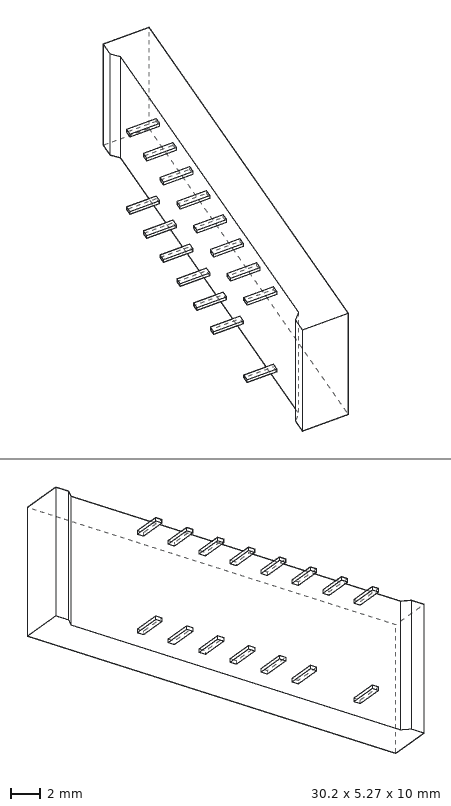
import cadquery as cq

length = 30.25
overall_depth = 5.27
height = 10.02

body_depth = 3.5
foot_height = 0.5
foot_width = 1.05
foot_slope_width = 0.55

pin_width = 0.5
pin_thickness = 0.27
pin_pitch = 2.55
pins_per_row = 8
row_spacing = 7.65
pin_group_center_x = 1.05
empty_bottom_position = 6

feet_y = -body_depth
recess_y = feet_y + foot_height
pin_tip_y = -overall_depth


def make_body():
    """Plate with two sloped feet, extruded over the full height."""
    end_x = length / 2
    foot_x = end_x - foot_width
    recess_x = foot_x - foot_slope_width
    outline = [
        (-end_x, 0),
        (-end_x, feet_y),
        (-foot_x, feet_y),
        (-recess_x, recess_y),
        (recess_x, recess_y),
        (foot_x, feet_y),
        (end_x, feet_y),
        (end_x, 0),
    ]
    profile = cq.Workplane("XY").workplane(offset=-height / 2).polyline(outline).close()
    return profile.extrude(height)


def make_pin_row(z, positions):
    """Rectangular pins from the recessed face to the tips, at one height."""
    first_x = pin_group_center_x - pin_pitch * (pins_per_row - 1) / 2
    centers = [(first_x + pin_pitch * position, z) for position in positions]
    plane = cq.Workplane("XZ", origin=(0, recess_y, 0))
    return plane.pushPoints(centers).rect(pin_width, pin_thickness).extrude(recess_y - pin_tip_y)


all_positions = list(range(pins_per_row))
bottom_positions = [position for position in all_positions if position != empty_bottom_position]

top_pins = make_pin_row(row_spacing / 2, all_positions)
bottom_pins = make_pin_row(-row_spacing / 2, bottom_positions)

result = make_body().union(top_pins).union(bottom_pins)